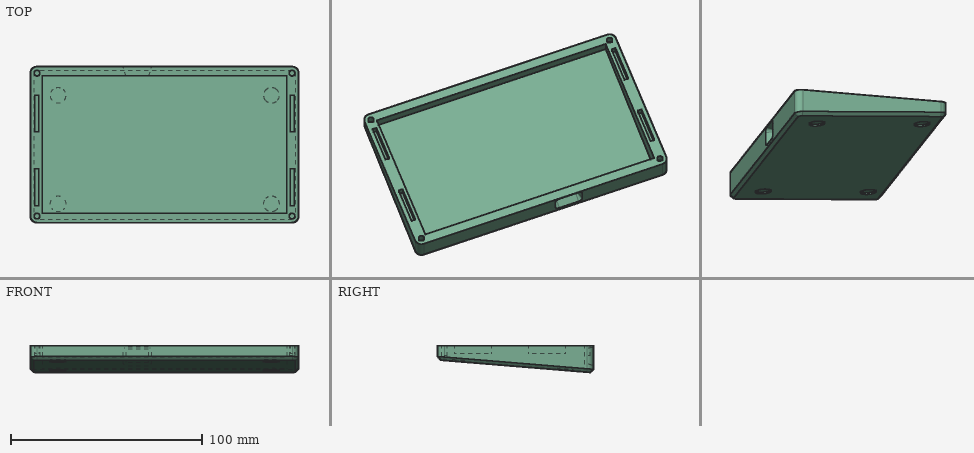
import math

import cadquery as cq

LENGTH = 140.5
WIDTH = 81.8
HEIGHT = 14.06
SLOPE_ANGLE = 4.7
SLOPE = math.tan(math.radians(SLOPE_ANGLE))
CORNER_RADIUS = 3.5
BOTTOM_CHAMFER = 1.85

POCKET_LENGTH = 128.0
POCKET_WIDTH = 72.0
FLOOR_THICKNESS = 2.0

SCREW_DIAMETER = 3.0
SCREW_DEPTH = 5.0
SCREW_INSET = 3.5

SLOT_WIDTH = 2.2
SLOT_LENGTH = 19.2
SLOT_DEPTH = 4.0
SLOT_INSET = 3.4
SLOT_SPACING = 38.7
SLOT_CENTER_Y = -3.0

FOOT_DIAMETER = 8.2
FOOT_DEPTH = 1.0
FOOT_INSET_X = 14.4
FOOT_INSET_FRONT = 10.0
FOOT_INSET_BACK = 15.0

PORT_LENGTH = 12.0
PORT_HEIGHT = 7.0
PORT_CORNER_RADIUS = 0.6
PORT_CENTER_X = -14.4
PORT_TOP = -1.6
PORT_FLARE = 1.5

BACK_WALL = (WIDTH - POCKET_WIDTH) / 2
PORT_DROP = BACK_WALL * SLOPE
LOWEST_Y = WIDTH / 2 - BOTTOM_CHAMFER


def bottom_z(y):
    """Height of the sloping bottom plane at a given Y."""
    return -HEIGHT - SLOPE * (y - LOWEST_Y)


def wedge(length, width, lift):
    """Block below Z = 0 whose underside lies `lift` above the bottom plane."""
    half = width / 2
    back_z = bottom_z(half) + lift
    front_z = bottom_z(-half) + lift
    return (
        cq.Workplane("YZ")
        .polyline([(-half, 0), (half, 0), (half, back_z), (-half, front_z)])
        .close()
        .extrude(length / 2, both=True)
    )


def make_body():
    body = wedge(LENGTH, WIDTH, 0).edges("|Z").fillet(CORNER_RADIUS)
    return body.faces("<Z").chamfer(BOTTOM_CHAMFER)


def make_screw_holes():
    return (
        cq.Workplane("XY")
        .rect(LENGTH - 2 * SCREW_INSET, WIDTH - 2 * SCREW_INSET, forConstruction=True)
        .vertices()
        .circle(SCREW_DIAMETER / 2)
        .extrude(-SCREW_DEPTH)
    )


def make_slots():
    return (
        cq.Workplane("XY")
        .center(0, SLOT_CENTER_Y)
        .rect(LENGTH - 2 * SLOT_INSET, SLOT_SPACING, forConstruction=True)
        .vertices()
        .rect(SLOT_WIDTH, SLOT_LENGTH)
        .extrude(-SLOT_DEPTH)
    )


def make_foot_recess(x, y):
    inward = cq.Vector(0, SLOPE, 1)
    return cq.Workplane(
        cq.Solid.makeCylinder(FOOT_DIAMETER / 2, FOOT_DEPTH, cq.Vector(x, y, bottom_z(y)), inward)
    )


def make_port():
    inner_face = cq.Plane(
        origin=(PORT_CENTER_X, POCKET_WIDTH / 2, PORT_TOP - PORT_HEIGHT / 2),
        xDir=(-1, 0, 0),
        normal=(0, 1, 0),
    )
    inner_outline = (
        cq.Sketch().rect(PORT_LENGTH, PORT_HEIGHT).vertices().fillet(PORT_CORNER_RADIUS)
    )
    outer_outline = (
        cq.Sketch()
        .rect(PORT_LENGTH + 2 * PORT_FLARE, PORT_HEIGHT + 2 * PORT_FLARE)
        .vertices()
        .fillet(PORT_CORNER_RADIUS + PORT_FLARE)
    )
    outer_shift = cq.Location(cq.Vector(0, -PORT_DROP, BACK_WALL))
    return (
        cq.Workplane(inner_face)
        .placeSketch(inner_outline, outer_outline.moved(outer_shift))
        .loft(ruled=True)
    )


result = (
    make_body()
    .cut(wedge(POCKET_LENGTH, POCKET_WIDTH, FLOOR_THICKNESS))
    .cut(make_screw_holes())
    .cut(make_slots())
    .cut(make_port())
)
for foot_x in (FOOT_INSET_X - LENGTH / 2, LENGTH / 2 - FOOT_INSET_X):
    for foot_y in (FOOT_INSET_FRONT - WIDTH / 2, WIDTH / 2 - FOOT_INSET_BACK):
        result = result.cut(make_foot_recess(foot_x, foot_y))